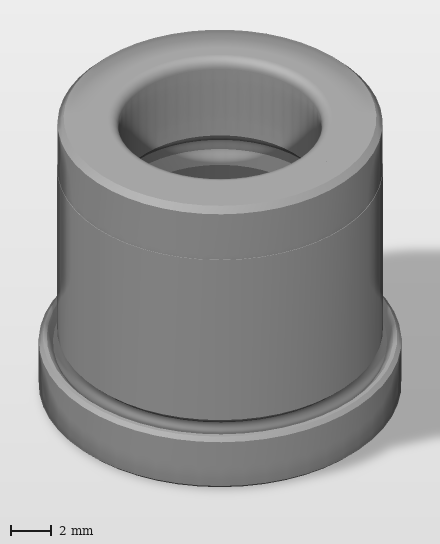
import cadquery as cq
import math

total_height = 16.0
head_radius = 8.9
head_height = 3.0
head_chamfer = 0.2

body_radius = 8.0
pilot_radius = 7.975
pilot_length = 3.0
pilot_chamfer = 0.3

undercut_depth = 0.4
undercut_fillet = 0.4
undercut_top = 3.5
undercut_sink = 0.3
undercut_outer_radius = 8.5

liner_outer_radius = 6.5
bore_radius = 5.0
bore_rounding = 0.5

groove_depth = 0.5
groove_flank_height = 0.6
groove_floor_height = 0.55
groove_top = 11.55


def make_bush():
    """Steel bush: turned outline with head, undercut, body and stepped-down pilot."""
    pilot_bottom = total_height - pilot_length
    neck_radius = body_radius - undercut_depth
    undercut_floor = head_height - undercut_sink
    fillet_top = undercut_floor + undercut_fillet
    fillet_outer_radius = neck_radius + undercut_fillet
    fillet_mid_offset = undercut_fillet * (1 - math.sqrt(0.5))
    fillet_middle = (neck_radius + fillet_mid_offset, undercut_floor + fillet_mid_offset)
    outline = (
        cq.Workplane("XZ")
        .moveTo(liner_outer_radius, 0)
        .lineTo(head_radius - head_chamfer, 0)
        .lineTo(head_radius, head_chamfer)
        .lineTo(head_radius, head_height - head_chamfer)
        .lineTo(head_radius - head_chamfer, head_height)
        .lineTo(undercut_outer_radius, head_height)
        .lineTo(undercut_outer_radius - undercut_sink, undercut_floor)
        .lineTo(fillet_outer_radius, undercut_floor)
        .threePointArc(fillet_middle, (neck_radius, fillet_top))
        .lineTo(body_radius, undercut_top)
        .lineTo(body_radius, pilot_bottom)
        .lineTo(pilot_radius, pilot_bottom)
        .lineTo(pilot_radius, total_height - pilot_chamfer)
        .lineTo(pilot_radius - pilot_chamfer, total_height)
        .lineTo(liner_outer_radius, total_height)
        .close()
    )
    return outline.revolve(360, (0, 0, 0), (0, 1, 0))


def make_liner():
    """Liner sleeve with rounded bore mouths and one trapezoidal groove in the bore."""
    groove_radius = bore_radius + groove_depth
    floor_top = groove_top - groove_flank_height
    floor_bottom = floor_top - groove_floor_height
    groove_bottom = floor_bottom - groove_flank_height

    sleeve = (
        cq.Workplane("XY")
        .circle(liner_outer_radius)
        .circle(bore_radius)
        .extrude(total_height)
        .edges(cq.selectors.RadiusNthSelector(0))
        .fillet(bore_rounding)
    )
    groove = (
        cq.Workplane("XZ")
        .moveTo(0, groove_bottom)
        .lineTo(bore_radius, groove_bottom)
        .lineTo(groove_radius, floor_bottom)
        .lineTo(groove_radius, floor_top)
        .lineTo(bore_radius, groove_top)
        .lineTo(0, groove_top)
        .close()
        .revolve(360, (0, 0, 0), (0, 1, 0))
    )
    return sleeve.cut(groove)


bush = make_bush()
liner = make_liner()
result = cq.Compound.makeCompound([bush.val(), liner.val()])